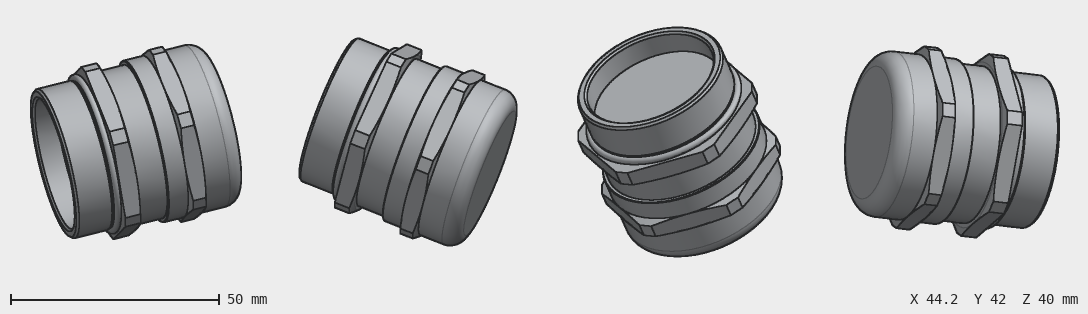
import cadquery as cq
import math

total_length = 42.0
across_corners = 44.2
across_flats = 40.0

thread_radius = 18.45
thread_length = 9.1
thread_chamfer_radial = 0.5
thread_chamfer_axial = 0.6
thread_top_chamfer = 0.25
bore_radius = 16.1
bore_depth = 6.0
bore_mouth_chamfer = 0.55

ring_outer_radius = 19.7
ring_section_radius = 0.9
neck_radius = thread_radius - thread_top_chamfer

lower_hex_start = 11.05
lower_hex_end = 15.42
body_radius = 19.0

cap_radius = across_flats / 2
cap_start = 22.55
cap_rim_chamfer = 0.18
cap_fillet = 3.98
upper_hex_start = 27.55
upper_hex_end = 31.95

corner_relief_angle = 15.0


def cylinder(radius, start, end):
    """Solid cylinder on the Y axis between two Y stations."""
    return cq.Workplane("XZ", origin=(0, start, 0)).circle(radius).extrude(start - end)


def revolved(profile):
    """Revolve a closed (radius, y) profile about the Y axis."""
    return profile.close().revolve(360, (0, 0, 0), (0, 1, 0))


def hexagon(start, end, relieve_start):
    """Hexagon with flat-cut corners; corners are relieved conically at one or both ends."""
    def prism(flats, turn):
        outline = cq.Workplane("XZ", origin=(0, start, 0)).polygon(6, flats / math.cos(math.pi / 6))
        return outline.extrude(start - end).rotate((0, 0, 0), (0, 1, 0), turn)

    body = prism(across_flats, 0).intersect(prism(across_corners, 30))
    flat_radius = across_flats / 2
    cone_radius = across_flats / math.sqrt(3)
    drop = (cone_radius - flat_radius) * math.tan(math.radians(corner_relief_angle))
    envelope = cq.Workplane("XY").moveTo(0, start)
    if relieve_start:
        envelope = envelope.lineTo(flat_radius, start).lineTo(cone_radius, start + drop)
    else:
        envelope = envelope.lineTo(cone_radius, start)
    envelope = envelope.lineTo(cone_radius, end - drop).lineTo(flat_radius, end).lineTo(0, end)
    return body.intersect(revolved(envelope))


def threaded_end():
    thread = cylinder(thread_radius, 0, thread_length)
    thread = thread.faces("<Y").chamfer(thread_chamfer_axial, thread_chamfer_radial)
    thread = thread.faces(">Y").chamfer(thread_top_chamfer)
    return thread.union(cylinder(neck_radius, thread_length, lower_hex_start))


def sealing_ring():
    center_radius = ring_outer_radius - ring_section_radius
    center_y = lower_hex_start - ring_section_radius
    half_seat = math.sqrt(ring_section_radius**2 - (center_radius - neck_radius) ** 2)
    section = (
        cq.Workplane("XY")
        .moveTo(neck_radius, center_y - half_seat)
        .threePointArc((ring_outer_radius, center_y), (neck_radius, center_y + half_seat))
    )
    return revolved(section)


def cap():
    shell = cylinder(cap_radius, cap_start, total_length)
    shell = shell.faces(">Y").edges().fillet(cap_fillet)
    return shell.faces("<Y").chamfer(cap_rim_chamfer)


def bore():
    mouth_radius = bore_radius + bore_mouth_chamfer
    profile = (
        cq.Workplane("XY")
        .lineTo(mouth_radius, 0)
        .lineTo(bore_radius, bore_mouth_chamfer)
        .lineTo(bore_radius, bore_depth)
        .lineTo(0, bore_depth)
    )
    return revolved(profile)


result = (
    threaded_end()
    .union(sealing_ring())
    .union(hexagon(lower_hex_start, lower_hex_end, relieve_start=False))
    .union(cylinder(body_radius, lower_hex_end, cap_start))
    .union(cap())
    .union(hexagon(upper_hex_start, upper_hex_end, relieve_start=True))
    .cut(bore())
)